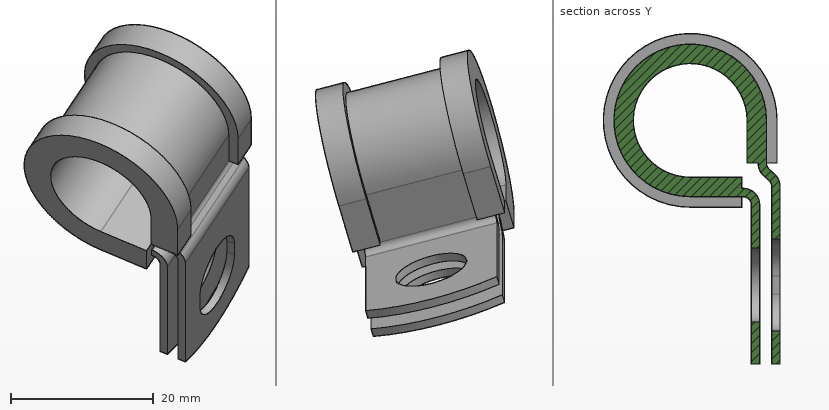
import cadquery as cq
import math

bore_radius = 7.95
cushion_radius = 12.18
cushion_width = 22.1
channel_width = 14.1
down_leg_length = 6.0
side_leg_length = 7.25

band_radius = 10.7
band_thickness = 1.2
tab_width = 19.1
bend_inner_radius = 1.15
joggle_angle = math.radians(48)
inner_tab_face = 9.75
outer_tab_face = 12.60
tab_bottom = -34.14

hole_diameter = 10.3
slot_length = 12.8
hole_height = -23.05
tab_end_radius = 23.0

cutter_length = outer_tab_face + 1
bend_outer_radius = bend_inner_radius + band_thickness
bend_middle_radius = bend_inner_radius + band_thickness / 2


def loop(outer_radius, width):
    """Three-quarter ring around Y with straight legs running down at +X and right at -Z."""
    half_chord = math.sqrt(0.5)
    return (
        cq.Workplane("XZ")
        .moveTo(outer_radius, -down_leg_length)
        .lineTo(outer_radius, 0)
        .threePointArc((-outer_radius * half_chord, outer_radius * half_chord), (0, -outer_radius))
        .lineTo(side_leg_length, -outer_radius)
        .lineTo(side_leg_length, -bore_radius)
        .lineTo(0, -bore_radius)
        .threePointArc((-bore_radius * half_chord, bore_radius * half_chord), (bore_radius, 0))
        .lineTo(bore_radius, -down_leg_length)
        .close()
        .extrude(width / 2, both=True)
    )


def arc_point(center, radius, angle):
    """Point on an arc in the XZ plane, with the angle measured from +X towards +Z."""
    return (center[0] + radius * math.cos(angle), center[1] + radius * math.sin(angle))


def inner_tab():
    """Strip that leaves the side leg, turns a quarter bend and runs down."""
    inner_face = inner_tab_face - band_thickness
    center = (inner_tab_face - bend_outer_radius, -band_radius - bend_inner_radius)
    half_bend = math.pi / 4
    return (
        cq.Workplane("XZ")
        .moveTo(side_leg_length, -band_radius)
        .lineTo(center[0], -band_radius)
        .threePointArc(arc_point(center, bend_inner_radius, half_bend), (inner_face, center[1]))
        .lineTo(inner_face, tab_bottom)
        .lineTo(inner_tab_face, tab_bottom)
        .lineTo(inner_tab_face, center[1])
        .threePointArc(
            arc_point(center, bend_outer_radius, half_bend),
            (center[0], -band_radius + band_thickness),
        )
        .lineTo(side_leg_length, -band_radius + band_thickness)
        .close()
        .extrude(tab_width / 2, both=True)
    )


def outer_tab():
    """Strip that leaves the down leg, steps outwards through a joggle and runs down."""
    inner_face = outer_tab_face - band_thickness
    step = outer_tab_face - band_radius
    ramp_run = step - 2 * bend_middle_radius * (1 - math.cos(joggle_angle))
    ramp_drop = ramp_run / math.tan(joggle_angle)
    joggle_drop = ramp_drop + 2 * bend_middle_radius * math.sin(joggle_angle)
    joggle_top = -down_leg_length
    joggle_bottom = joggle_top - joggle_drop

    upper_center = (band_radius + bend_inner_radius, joggle_top)
    lower_center = (inner_face - bend_inner_radius, joggle_bottom)
    upper_middle = math.pi + joggle_angle / 2
    upper_end = math.pi + joggle_angle
    lower_middle = joggle_angle / 2
    return (
        cq.Workplane("XZ")
        .moveTo(band_radius, joggle_top)
        .threePointArc(
            arc_point(upper_center, bend_inner_radius, upper_middle),
            arc_point(upper_center, bend_inner_radius, upper_end),
        )
        .lineTo(*arc_point(lower_center, bend_outer_radius, joggle_angle))
        .threePointArc(
            arc_point(lower_center, bend_outer_radius, lower_middle),
            (outer_tab_face, joggle_bottom),
        )
        .lineTo(outer_tab_face, tab_bottom)
        .lineTo(inner_face, tab_bottom)
        .lineTo(inner_face, joggle_bottom)
        .threePointArc(
            arc_point(lower_center, bend_inner_radius, lower_middle),
            arc_point(lower_center, bend_inner_radius, joggle_angle),
        )
        .lineTo(*arc_point(upper_center, bend_outer_radius, upper_end))
        .threePointArc(
            arc_point(upper_center, bend_outer_radius, upper_middle),
            (band_radius - band_thickness, joggle_top),
        )
        .close()
        .extrude(tab_width / 2, both=True)
    )


def tab_end_envelope():
    """Cylinder along X whose lowest point is the rounded end of both tabs."""
    return (
        cq.Workplane("YZ")
        .center(0, tab_bottom + tab_end_radius)
        .circle(tab_end_radius)
        .extrude(cutter_length)
    )


def bolt_hole():
    """Round hole along X for the inner tab."""
    return (
        cq.Workplane("YZ")
        .center(0, hole_height)
        .circle(hole_diameter / 2)
        .extrude(cutter_length)
    )


def adjustment_slot():
    """Vertical slot, concentric with the bolt hole and as wide as it."""
    return (
        cq.Workplane("YZ")
        .center(0, hole_height)
        .slot2D(slot_length, hole_diameter, 90)
        .extrude(cutter_length)
    )


def cushion_and_band():
    """Full-width flanges joined by the exposed band of smaller radius."""
    channel = loop(cushion_radius, channel_width).cut(loop(band_radius, channel_width))
    return loop(cushion_radius, cushion_width).cut(channel)


pierced_tabs = inner_tab().cut(bolt_hole()).union(outer_tab().cut(adjustment_slot()))
tabs = pierced_tabs.intersect(tab_end_envelope())
result = cushion_and_band().union(tabs)